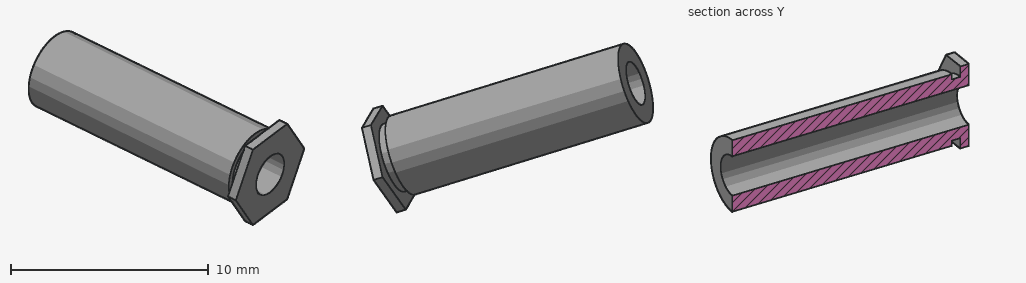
import cadquery as cq
import math

total_length = 14.0
barrel_diameter = 4.2
neck_diameter = 3.6
barrel_length = 13.0
head_thickness = 0.51
head_across_flats = 4.8
bore_diameter = 2.27

head_across_corners = head_across_flats / math.cos(math.radians(30))
head_start = total_length - head_thickness
neck_length = head_start - barrel_length


def section_at(x_start):
    """Workplane facing +X at the given position along the part axis."""
    return cq.Workplane("YZ", origin=(x_start, 0, 0))


def make_barrel():
    return section_at(0).circle(barrel_diameter / 2).extrude(barrel_length)


def make_neck():
    return section_at(barrel_length).circle(neck_diameter / 2).extrude(neck_length)


def make_hex_head():
    """Hexagonal head with corners on the Y axis and flats facing +Z and -Z."""
    return section_at(head_start).polygon(6, head_across_corners).extrude(head_thickness)


def make_bore():
    return section_at(0).circle(bore_diameter / 2).extrude(total_length)


result = make_barrel().union(make_neck()).union(make_hex_head()).cut(make_bore())